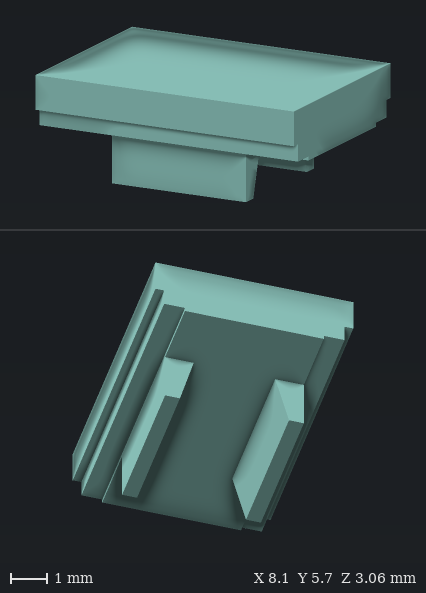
import cadquery as cq

length = 8.1
width = 5.7
height = 3.06

cover_thickness = 1.0
step_width = 5.2
step_thickness = 0.5
base_width = 4.0
base_thickness = 0.11

leg_length = 4.2
leg_root = 0.83
leg_tip = 0.43

cover_bottom = height - cover_thickness
step_bottom = cover_bottom - step_thickness
base_bottom = step_bottom - base_thickness


def layer(layer_width, bottom, thickness):
    """Full-length slab centred on the Z axis."""
    return (
        cq.Workplane("XY")
        .workplane(offset=bottom)
        .rect(length, layer_width)
        .extrude(thickness)
    )


def leg(side):
    """Leg with a vertical outer face and a sloping inner face; side is +1 or -1 along Y."""
    outer = base_width / 2
    profile = [
        (side * outer, base_bottom),
        (side * (outer - leg_root), base_bottom),
        (side * (outer - leg_tip), 0),
        (side * outer, 0),
    ]
    return cq.Workplane("YZ").polyline(profile).close().extrude(leg_length / 2, both=True)


result = layer(width, cover_bottom, cover_thickness)
result = result.union(layer(step_width, step_bottom, step_thickness))
result = result.union(layer(base_width, base_bottom, base_thickness))
for side in (-1, 1):
    result = result.union(leg(side))